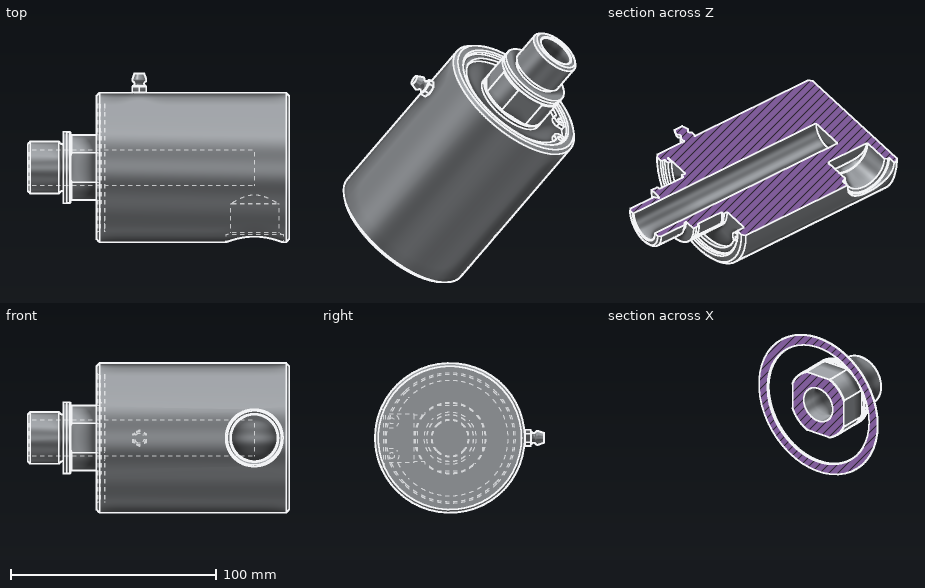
import cadquery as cq
import math


housing_diameter = 73.0
housing_radius = housing_diameter / 2
housing_length = 94.0
housing_chamfer = 1.6
recess_diameter = 62.1
recess_depth = 4.2
recess_chamfer = 0.75

ring_front = 2.0
ring_thickness = 2.0
ring_inner_diameter = 56.4
ring_hole_diameter = 2.79
ring_lug_radius = 3.5
ring_hole_y = -28.4
ring_hole_z = 8.44

rotor_diameter = 34.8
overall_length = 127.4
rotor_tip = housing_length - overall_length
rotor_bore_diameter = 17.5
rotor_bore_chamfer = 0.45
stud_diameter = 25.4
stud_length = 15.2
stud_chamfer = 1.25
neck_diameter = 22.63
neck_chamfer = 0.4
washer_front = -16.1
washer_diameter = 34.9
washer_thickness = 1.65
collar_thickness = 1.65
relief_depth = 0.4
wrench_flat_size = 31.75
wrench_flat_end = 2.0

port_x = 76.95
spotface_diameter = 28.0
spotface_depth = 4.0
port_mouth_diameter = 26.4
port_cone_end_diameter = 23.6
port_cone_depth = 1.1
port_bore_diameter = 22.63
port_thread_depth = 14.8

overall_width = 82.38
nipple_x = 20.95
nipple_tip_y = overall_width - housing_radius
nipple_hex_size = 7.0
nipple_hex_gap = 0.15
nipple_hex_bottom = housing_radius + nipple_hex_gap
nipple_hex_top = 39.4
nipple_shank_sink = 1.5
nipple_collar_diameter = 6.33
nipple_collar_top = 39.75
nipple_neck_radius = 2.4
nipple_neck_y = 40.7
nipple_head_base_radius = 3.0
nipple_head_base_y = 41.8
nipple_head_radius = 3.5
nipple_head_y = 42.7
nipple_cone_base_radius = 3.35
nipple_cone_base_y = 43.2
nipple_tip_radius = 2.4

rotor_radius = rotor_diameter / 2
x_axis = ((0, 0, 0), (1, 0, 0))


def cylinder_x(diameter, start, end):
    """Solid cylinder about the X axis."""
    return cq.Workplane("YZ", origin=(start, 0, 0)).circle(diameter / 2).extrude(end - start)


def make_housing():
    body = cylinder_x(housing_diameter, 0, housing_length)
    body = body.faces("<X or >X").chamfer(housing_chamfer)
    recess = cylinder_x(recess_diameter, 0, recess_depth)
    body = body.cut(recess)
    recess_mouth = body.faces("<X").edges(cq.selectors.RadiusNthSelector(0))
    return recess_mouth.chamfer(recess_chamfer)


def ring_plate(diameter, y=0, z=0):
    """Round plate of the ring's thickness, lying in the plane of the ring."""
    plane = cq.Workplane("YZ", origin=(ring_front, 0, 0))
    return plane.center(y, z).circle(diameter / 2).extrude(ring_thickness)


def make_retaining_ring():
    """Open ring whose two lugs each carry a plier hole."""
    gap_width = 2 * (ring_hole_z - ring_lug_radius)
    gap = cq.Workplane("XY").box(housing_length, housing_radius, gap_width)
    gap = gap.translate((0, -housing_radius, 0))
    disc = ring_plate(recess_diameter)
    ring = disc.cut(ring_plate(ring_inner_diameter)).cut(gap)
    for side in (1, -1):
        lug = ring_plate(2 * ring_lug_radius, ring_hole_y, side * ring_hole_z)
        hole = ring_plate(ring_hole_diameter, ring_hole_y, side * ring_hole_z)
        ring = ring.union(lug.intersect(disc)).cut(hole)
    return ring


def make_rotor():
    stud_radius = stud_diameter / 2
    neck_radius = neck_diameter / 2
    washer_radius = washer_diameter / 2
    stud_end = rotor_tip + stud_length
    washer_end = washer_front + washer_thickness
    collar_end = washer_end + collar_thickness
    relief_radius = rotor_radius - relief_depth
    arc_start_x = stud_end + neck_chamfer
    arc_start_radius = stud_radius - neck_chamfer
    arc_length = washer_front - arc_start_x
    arc_drop = arc_start_radius - neck_radius
    arc_radius = (arc_length**2 + arc_drop**2) / (2 * arc_drop)
    half_angle = math.asin(arc_length / arc_radius) / 2
    arc_middle = (
        washer_front - arc_radius * math.sin(half_angle),
        neck_radius + arc_radius * (1 - math.cos(half_angle)),
    )
    rotor = (
        cq.Workplane("XY")
        .moveTo(rotor_tip, 0)
        .lineTo(rotor_tip, stud_radius - stud_chamfer)
        .lineTo(rotor_tip + stud_chamfer, stud_radius)
        .lineTo(stud_end, stud_radius)
        .lineTo(arc_start_x, arc_start_radius)
        .threePointArc(arc_middle, (washer_front, neck_radius))
        .lineTo(washer_front, washer_radius)
        .lineTo(washer_end, washer_radius)
        .lineTo(washer_end, rotor_radius)
        .lineTo(collar_end, rotor_radius)
        .lineTo(collar_end + relief_depth, relief_radius)
        .lineTo(collar_end + 2 * relief_depth, rotor_radius)
        .lineTo(wrench_flat_end - relief_depth, rotor_radius)
        .lineTo(wrench_flat_end, relief_radius)
        .lineTo(wrench_flat_end + relief_depth, rotor_radius)
        .lineTo(recess_depth, rotor_radius)
        .lineTo(recess_depth, 0)
        .close()
        .revolve(360, *x_axis)
    )
    flats_start = collar_end + relief_depth
    plane = cq.Workplane("YZ", origin=(flats_start, 0, 0))
    waste = plane.rect(housing_diameter, housing_diameter).rect(wrench_flat_size, wrench_flat_size)
    return rotor.cut(waste.extrude(wrench_flat_end - flats_start))


def make_rotor_bore():
    """Blind bore that reaches the level of the port axis."""
    radius = rotor_bore_diameter / 2
    outline = [
        (rotor_tip, 0),
        (rotor_tip, radius + rotor_bore_chamfer),
        (rotor_tip + rotor_bore_chamfer, radius),
        (port_x, radius),
        (port_x, 0),
    ]
    return cq.Workplane("XY").polyline(outline).close().revolve(360, *x_axis)


def make_port():
    """Stepped port with a spotface; it ends on the round surface of the rotor."""
    floor_y = -housing_radius + spotface_depth
    cone_end_y = floor_y + port_cone_depth
    thread_end_y = floor_y + port_thread_depth
    outline = [
        (0, -housing_radius),
        (spotface_diameter / 2, -housing_radius),
        (spotface_diameter / 2, floor_y),
        (port_mouth_diameter / 2, floor_y),
        (port_cone_end_diameter / 2, cone_end_y),
        (port_cone_end_diameter / 2, thread_end_y),
        (port_bore_diameter / 2, thread_end_y),
        (port_bore_diameter / 2, 0),
        (0, 0),
    ]
    port = cq.Workplane("XY").polyline(outline).close().revolve(360, (0, 0, 0), (0, 1, 0))
    core = cylinder_x(rotor_diameter, 0, housing_length)
    return port.translate((port_x, 0, 0)).cut(core)


def make_grease_nipple():
    shank_bottom = housing_radius - nipple_shank_sink
    plane = cq.Plane(origin=(nipple_x, nipple_hex_bottom, 0), xDir=(0, 0, 1), normal=(0, 1, 0))
    hexagon = cq.Workplane(plane).polygon(6, nipple_hex_size / math.cos(math.pi / 6))
    hexagon = hexagon.extrude(nipple_hex_top - nipple_hex_bottom)
    collar_radius = nipple_collar_diameter / 2
    head = (
        cq.Workplane("XY")
        .moveTo(0, shank_bottom)
        .lineTo(collar_radius, shank_bottom)
        .lineTo(collar_radius, nipple_collar_top)
        .threePointArc((nipple_neck_radius, nipple_neck_y), (nipple_head_base_radius, nipple_head_base_y))
        .threePointArc((nipple_head_radius, nipple_head_y), (nipple_cone_base_radius, nipple_cone_base_y))
        .lineTo(nipple_tip_radius, nipple_tip_y)
        .lineTo(0, nipple_tip_y)
        .close()
        .revolve(360, (0, 0, 0), (0, 1, 0))
    )
    return hexagon.union(head.translate((nipple_x, 0, 0)))


result = (
    make_housing()
    .union(make_rotor())
    .union(make_retaining_ring())
    .union(make_grease_nipple())
    .cut(make_rotor_bore())
    .cut(make_port())
)